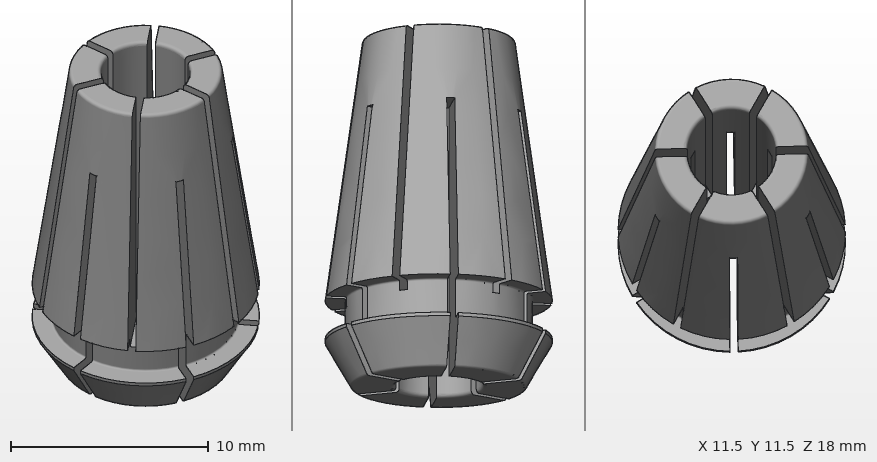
import cadquery as cq
import math

total_height = 18.0
max_diameter = 11.5
bore_diameter = 4.5
groove_radius = 4.73
taper_base_z = 4.5
rim_top_z = 2.5
rim_width = 0.18
taper_angle = 8.0
nose_angle = 30.0
edge_round = 0.2
groove_corner_round = 0.1
slot_width = 0.41
cut_overrun = 0.18
slots_per_end = 6
top_slot_floor_z = 4.0
bottom_slot_end_z = 14.0

max_radius = max_diameter / 2
bore_radius = bore_diameter / 2
rim_bottom_z = rim_top_z - rim_width
top_radius = max_radius - (total_height - taper_base_z) * math.tan(math.radians(taper_angle))
nose_radius = max_radius - rim_bottom_z * math.tan(math.radians(nose_angle))
slot_pitch = 360.0 / slots_per_end


def collet_body():
    """Revolved body: clamping nose, extraction groove, long taper and through bore."""
    half_section = [
        (bore_radius, 0),
        (nose_radius, 0),
        (max_radius, rim_bottom_z),
        (max_radius, rim_top_z),
        (groove_radius, rim_top_z),
        (groove_radius, taper_base_z),
        (max_radius, taper_base_z),
        (top_radius, total_height),
        (bore_radius, total_height),
    ]
    body = cq.Workplane("XZ").polyline(half_section).close().revolve(360, (0, 0, 0), (0, 1, 0))
    body = body.faces(">Z or <Z").edges("%CIRCLE").fillet(edge_round)
    groove_zone = cq.selectors.BoxSelector(
        (-max_radius, -max_radius, rim_top_z / 2),
        (max_radius, max_radius, total_height / 2),
    )
    innermost_edges = cq.selectors.RadiusNthSelector(0)
    return body.edges(groove_zone).edges(innermost_edges).fillet(groove_corner_round)


def slot_ring(start_z, end_z, first_angle):
    """Radial saw cuts spaced evenly around the axis, each reaching from the axis outwards."""
    cut_length = max_radius + cut_overrun
    blade = cq.Workplane("XY").box(cut_length, slot_width, end_z - start_z, centered=(False, True, False))
    blade = blade.translate((0, 0, start_z))
    ring = cq.Workplane("XY")
    for index in range(slots_per_end):
        ring = ring.add(blade.rotate((0, 0, 0), (0, 0, 1), first_angle + index * slot_pitch))
    return ring.combine()


top_slots = slot_ring(top_slot_floor_z, total_height, 0)
bottom_slots = slot_ring(0, bottom_slot_end_z, slot_pitch / 2)

result = collet_body().cut(top_slots).cut(bottom_slots)